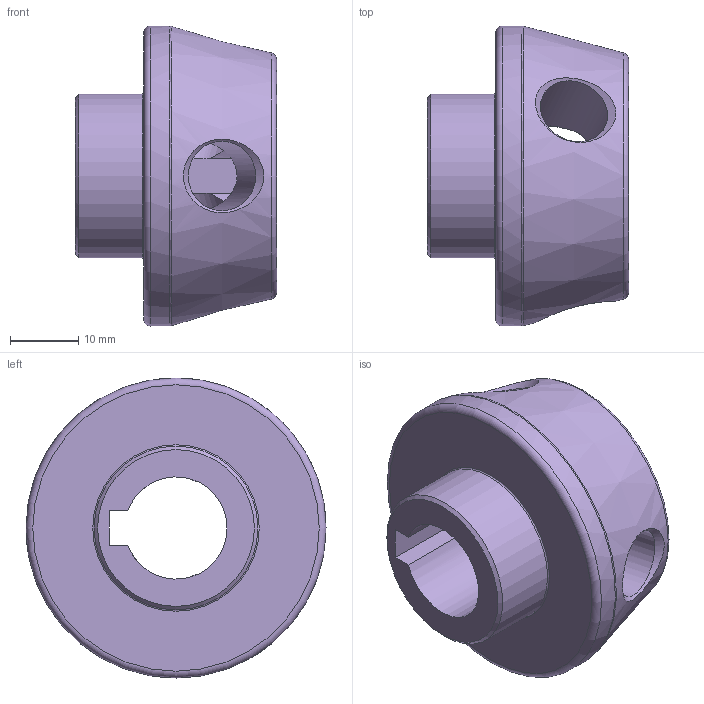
import cadquery as cq
import math

total_length = 29.5
flange_radius = 22.0
bore_radius = 7.5

hub_radius = 12.0
hub_length = 10.0
hub_chamfer = 0.5
hub_root_fillet = 0.2

rim_length = 4.0
cone_angle = 15.0
edge_fillet = 1.0
cone_start = hub_length + rim_length
cone_slope = math.tan(math.radians(cone_angle))
nose_radius = flange_radius - (total_length - cone_start) * cone_slope

keyway_width = 5.0
keyway_depth = 9.8

hole_count = 3
hole_diameter = 10.2
countersink_depth = 1.0
countersink_diameter = hole_diameter + 2 * countersink_depth
hole_position = (cone_start + total_length) / 2
mouth_clearance = 2.0


def make_body():
    """Hub, rim and cone turned about the X axis."""
    profile = (
        cq.Workplane("XY")
        .moveTo(0, 0)
        .lineTo(0, hub_radius - hub_chamfer)
        .lineTo(hub_chamfer, hub_radius)
        .lineTo(hub_length, hub_radius)
        .lineTo(hub_length, flange_radius)
        .lineTo(cone_start, flange_radius)
        .lineTo(total_length, nose_radius)
        .lineTo(total_length, 0)
        .close()
    )
    return profile.revolve(360, (0, 0, 0), (1, 0, 0))


def circle_edges(body, x, radius):
    """The circular edge of the body at a given axial position and radius."""
    margin = 0.01
    reach = radius + margin
    box = cq.selectors.BoxSelector(
        (x - margin, -reach, -reach), (x + margin, reach, reach), boundingbox=True
    )
    at_radius = [
        edge
        for edge in body.edges("%CIRCLE").edges(box).vals()
        if abs(edge.radius() - radius) < margin
    ]
    return body.newObject(at_radius)


def round_edges(body):
    """Round the rim, the start and end of the cone, and the hub root."""
    for x, radius, fillet in [
        (hub_length, flange_radius, edge_fillet),
        (cone_start, flange_radius, edge_fillet),
        (total_length, nose_radius, edge_fillet),
        (hub_length, hub_radius, hub_root_fillet),
    ]:
        body = circle_edges(body, x, radius).fillet(fillet)
    return body


def make_bore():
    """Through bore with its keyway."""
    bore = cq.Workplane("YZ").circle(bore_radius).extrude(total_length)
    keyway = (
        cq.Workplane("YZ")
        .center(keyway_depth / 2, 0)
        .rect(keyway_depth, keyway_width)
        .extrude(total_length)
    )
    return bore.union(keyway)


def make_hole_cutter():
    """Drill and 90 degree countersink on the -Y side, entering square to the cone."""
    mouth_radius = flange_radius - (hole_position - cone_start) * cone_slope
    tilt = math.radians(cone_angle)
    inward = cq.Vector(-math.sin(tilt), math.cos(tilt), 0)
    depth = mouth_radius / math.cos(tilt)

    mouth = cq.Vector(hole_position, -mouth_radius, 0)
    start = mouth - inward * mouth_clearance
    drill = cq.Solid.makeCylinder(hole_diameter / 2, depth + mouth_clearance, start, inward)

    wide_radius = countersink_diameter / 2 + mouth_clearance
    countersink = cq.Solid.makeCone(wide_radius, 0, wide_radius, start, inward)
    return cq.Workplane(drill).union(cq.Workplane(countersink))


result = round_edges(make_body()).cut(make_bore())
hole_cutter = make_hole_cutter()
for index in range(hole_count):
    angle = index * 360 / hole_count
    result = result.cut(hole_cutter.rotate((0, 0, 0), (1, 0, 0), angle))